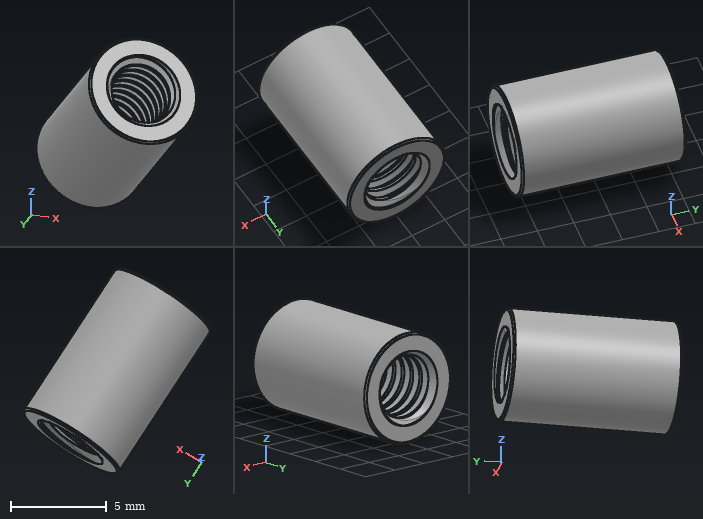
import cadquery as cq
import math

outer_diameter = 5.95
length = 9.0
outer_chamfer = 0.1

major_diameter = 4.0
minor_diameter = 3.3
pitch = 0.7
root_flat = pitch / 8
flank_half_angle = math.radians(30)
thread_start_angle = 168.0

groove_overlap = 0.05
thread_overrun = pitch
blank_end_stock = 2 * pitch
blank_side_stock = 1.0

outer_radius = outer_diameter / 2
major_radius = major_diameter / 2
minor_radius = minor_diameter / 2


def make_bored_blank():
    """Oversize tube along Z whose bore is the minor diameter of the thread."""
    blank = cq.Workplane("XY", origin=(0, 0, -blank_end_stock))
    blank = blank.circle(outer_radius + blank_side_stock).circle(minor_radius)
    return blank.extrude(length + 2 * blank_end_stock)


def make_thread_groove():
    """Helical V-groove along Z with a flat root, running past both ends of the sleeve."""
    inner_radius = minor_radius - groove_overlap
    half_root = root_flat / 2
    half_mouth = half_root + (major_radius - inner_radius) * math.tan(flank_half_angle)
    helix = cq.Wire.makeHelix(pitch, length + 2 * thread_overrun, minor_radius)
    profile = cq.Workplane("XZ").polyline([
        (inner_radius, -half_mouth),
        (major_radius, -half_root),
        (major_radius, half_root),
        (inner_radius, half_mouth),
    ]).close()
    groove = profile.sweep(cq.Workplane(obj=helix), isFrenet=True)
    groove = groove.translate((0, 0, -thread_overrun))
    return groove.rotate((0, 0, 0), (0, 0, 1), thread_start_angle)


def make_envelope():
    """Chamfered bar along Y with a 45 degree countersink at each end, as wide as the major diameter."""
    half_length = length / 2
    countersink_apex = half_length - major_radius
    outline = cq.Workplane("YZ").polyline([
        (-countersink_apex, 0),
        (-half_length, major_radius),
        (-half_length, outer_radius - outer_chamfer),
        (-half_length + outer_chamfer, outer_radius),
        (half_length - outer_chamfer, outer_radius),
        (half_length, outer_radius - outer_chamfer),
        (half_length, major_radius),
        (countersink_apex, 0),
    ]).close()
    return outline.revolve(360, (0, 0), (1, 0))


threaded_blank = make_bored_blank().cut(make_thread_groove())
threaded_blank = threaded_blank.translate((0, 0, -length / 2)).rotate((0, 0, 0), (1, 0, 0), -90)
result = threaded_blank.intersect(make_envelope())